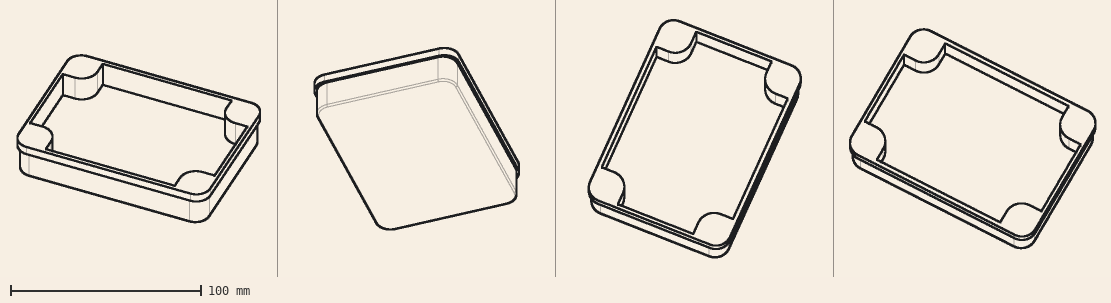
import cadquery as cq

LENGTH = 110.0
WIDTH = 80.0
HEIGHT = 21.0
CORNER_RADIUS = 8.0

RIM_HEIGHT = 5.0
RIM_OVERHANG = 1.0
BOTTOM_FILLET = 1.0

SIDE_WALL_X = 2.1
SIDE_WALL_Y = 2.5
FLOOR = 6.5
BLOCK_SIZE = 16.0
BLOCK_RADIUS = 9.0


def rounded_slab(length, width, height, radius):
    """Slab standing on Z = 0 with rounded vertical edges."""
    return (
        cq.Workplane("XY")
        .box(length, width, height, centered=(True, True, False))
        .edges("|Z")
        .fillet(radius)
    )


def make_shell():
    """Solid outer shape: filleted body with the overhanging rim on top."""
    body = rounded_slab(
        LENGTH - 2 * RIM_OVERHANG, WIDTH - 2 * RIM_OVERHANG, HEIGHT, CORNER_RADIUS
    )
    body = body.faces("<Z").edges().fillet(BOTTOM_FILLET)
    rim = rounded_slab(LENGTH, WIDTH, RIM_HEIGHT, CORNER_RADIUS)
    return body.union(rim.translate((0, 0, HEIGHT - RIM_HEIGHT)))


def make_cavity():
    """Pocket shape: a sharp-cornered box minus a rounded block in each corner."""
    half_length = LENGTH / 2 - SIDE_WALL_X
    half_width = WIDTH / 2 - SIDE_WALL_Y
    depth = HEIGHT - FLOOR
    cavity = cq.Workplane("XY").box(
        2 * half_length, 2 * half_width, depth, centered=(True, True, False)
    )
    block = rounded_slab(2 * BLOCK_SIZE, 2 * BLOCK_SIZE, depth, BLOCK_RADIUS)
    for x in (-half_length, half_length):
        for y in (-half_width, half_width):
            cavity = cavity.cut(block.translate((x, y, 0)))
    return cavity.translate((0, 0, FLOOR))


result = make_shell().cut(make_cavity())